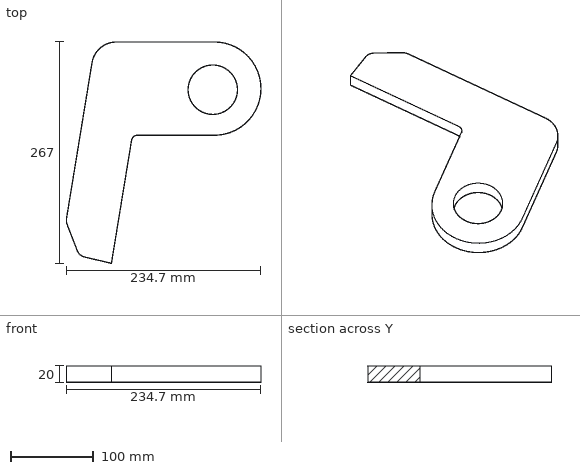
import cadquery as cq
import math

length = 267.0
width = 234.7
thickness = 20.0

head_height = 112.7
hole_x = 176.5
hole_y = 209.5
hole_radius = 29.6

lean_angle = 9.3
leg_tip_x = 54.5
heel_x = -0.5
heel_y = 50.5
toe_x = 15.5
toe_y = 9.0

shoulder_radius = 30.0
inner_radius = 7.0
heel_radius = 15.0
toe_radius = 13.4

lean = math.tan(math.radians(lean_angle))
head_bottom = length - head_height
head_middle = length - head_height / 2
shoulder_x = heel_x + (length - heel_y) * lean
inner_x = leg_tip_x + head_bottom * lean


def round_corner(body, x, y, radius):
    """Round the upright edge nearest to the corner (x, y)."""
    corner = (x, y, thickness / 2)
    return body.edges("|Z").edges(cq.NearestToPointSelector(corner)).fillet(radius)


plate = (
    cq.Workplane("XY")
    .moveTo(leg_tip_x, 0)
    .lineTo(inner_x, head_bottom)
    .lineTo(hole_x, head_bottom)
    .threePointArc((width, head_middle), (hole_x, length))
    .lineTo(shoulder_x, length)
    .lineTo(heel_x, heel_y)
    .lineTo(toe_x, toe_y)
    .close()
    .extrude(thickness)
)

rounded_corners = [
    (shoulder_x, length, shoulder_radius),
    (inner_x, head_bottom, inner_radius),
    (heel_x, heel_y, heel_radius),
    (toe_x, toe_y, toe_radius),
]
for corner_x, corner_y, corner_radius in rounded_corners:
    plate = round_corner(plate, corner_x, corner_y, corner_radius)

hole = cq.Workplane("XY").center(hole_x, hole_y).circle(hole_radius).extrude(thickness)
result = plate.cut(hole)